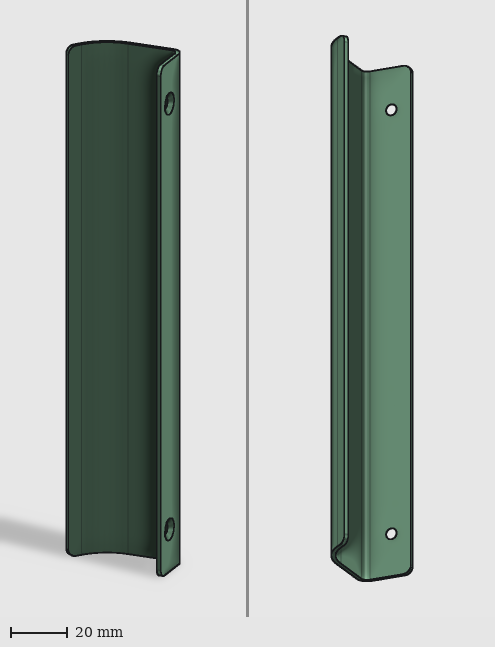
import cadquery as cq
import math

width = 40.0
depth = 20.0
length = 192.0

thickness = 1.6
bend_inner_radius = 2.3
bend_outer_radius = bend_inner_radius + thickness
curl_inner_radius = 18.5
curl_outer_radius = curl_inner_radius + thickness
curl_angle = math.radians(53)
web_to_curl = 20.7

corner_radius = 3.0
hole_diameter = 4.0
countersink_diameter = 8.0
hole_end_distance = 16.0
hole_from_web = 12.3

right = width / 2
back = depth / 2
front = -back
curl_x = right - web_to_curl
curl_y = back - curl_outer_radius
lip_dir = (-math.cos(curl_angle), -math.sin(curl_angle))


def curl_point(radius, angle):
    """Point on the curl, with the angle measured from the web."""
    return (curl_x - radius * math.sin(angle), curl_y + radius * math.cos(angle))


def bend_middle(radius):
    """Middle point of the flange bend at the given radius."""
    offset = radius * math.sqrt(0.5)
    return (right - bend_outer_radius + offset, back - bend_outer_radius + offset)


outer_curl_end = curl_point(curl_outer_radius, curl_angle)
inner_curl_end = curl_point(curl_inner_radius, curl_angle)
lip_length = (outer_curl_end[0] + width / 2) / math.cos(curl_angle)


def lip_tip(start):
    """End of the lip on the face that leaves the curl at start."""
    return (start[0] + lip_length * lip_dir[0], start[1] + lip_length * lip_dir[1])


def make_sheet():
    """Bent strip: flange, web, curl and lip, extruded along Z."""
    inner_right = right - thickness
    inner_back = back - thickness
    bend_x = right - bend_outer_radius
    bend_y = back - bend_outer_radius
    return (
        cq.Workplane("XY", origin=(0, 0, -length / 2))
        .moveTo(right, front)
        .lineTo(right, bend_y)
        .threePointArc(bend_middle(bend_outer_radius), (bend_x, back))
        .lineTo(curl_x, back)
        .threePointArc(curl_point(curl_outer_radius, curl_angle / 2), outer_curl_end)
        .lineTo(*lip_tip(outer_curl_end))
        .lineTo(*lip_tip(inner_curl_end))
        .lineTo(*inner_curl_end)
        .threePointArc(curl_point(curl_inner_radius, curl_angle / 2), (curl_x, inner_back))
        .lineTo(bend_x, inner_back)
        .threePointArc(bend_middle(bend_inner_radius), (inner_right, bend_y))
        .lineTo(inner_right, front)
        .close()
        .extrude(length)
    )


def round_free_corners(sheet):
    """Round the four corners at the free edges of the flange and the lip."""
    flange_end = sheet.faces("<Y").edges("|X")
    lip_normal = cq.Vector(lip_dir[0], lip_dir[1], 0)
    lip_end = sheet.faces(cq.DirectionMinMaxSelector(lip_normal)).edges("not |Z")
    return flange_end.add(lip_end).fillet(corner_radius)


def make_hole(z):
    """Cone cutter for a countersunk hole, widening through the flange to its outer face."""
    cone = cq.Solid.makeCone(
        hole_diameter / 2,
        countersink_diameter / 2,
        thickness,
        pnt=cq.Vector(right - thickness, back - hole_from_web, z),
        dir=cq.Vector(1, 0, 0),
    )
    return cq.Workplane(cone)


hole_z = length / 2 - hole_end_distance
result = round_free_corners(make_sheet())
for z in (-hole_z, hole_z):
    result = result.cut(make_hole(z))